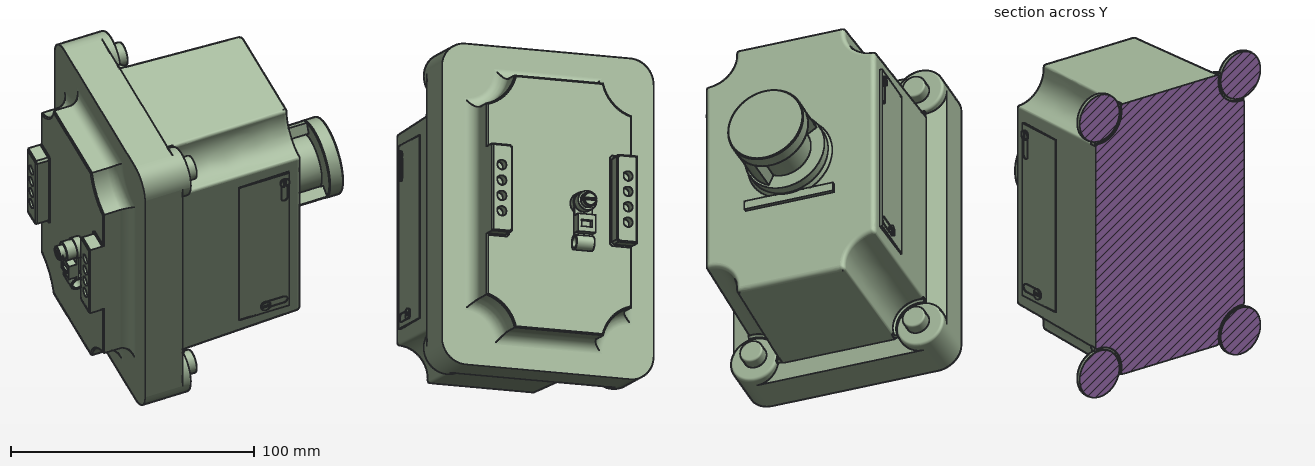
import cadquery as cq
import math


FLANGE_X = 93.7
FLANGE_Z = 134.9
FLANGE_CORNER_R = 10.4
FLANGE_EDGE_Y = 16.7
SLOPE_TOP_Y = 18.5
PAD_Y = 20.9
PAD_EDGE_R = 1.2
CORNER_X = FLANGE_X / 2 - FLANGE_CORNER_R
CORNER_Z = FLANGE_Z / 2 - FLANGE_CORNER_R

SCREW_X = 35.7
SCREW_Z = 56.4
SCREW_R = 5.0
SCREW_TOP_Y = 26.0
SCREW_EDGE = 0.8

CASE_REAR_Y = 73.8
CASE_ROOT_Y = 19.2
CASE_ROOT_X = 38.6
CASE_ROOT_Z = 60.4
CASE_SCALLOP_R = 11.3
DRAFT = 1.4
CASE_REAR_EDGE_R = 1.9
CASE_SIDE_EDGE_R = 1.2
CASE_SCALLOP_ROOT_R = CASE_SCALLOP_R - FLANGE_CORNER_R

FRONT_X = 32.1
FRONT_Z = 53.0
FRONT_Y = -12.4
FRONT_ROOT_R = 4.9
FRONT_SCALLOP_R = 17.4
FRONT_EDGE = 0.5

TERMINAL_INNER_X = 23.0
TERMINAL_TOP_Z = 22.1
TERMINAL_BOTTOM_Z = -14.5
TERMINAL_FACE_Y = -18.6
TERMINAL_CORNER = 1.0
TERMINAL_EDGE = 0.5
TERMINAL_FOOT = 0.7
TERMINAL_FOOT_HEIGHT = 0.4
SOCKET_X = 27.9
SOCKET_TOP_Z = 13.4
SOCKET_PITCH = 6.5
SOCKET_COUNT = 4
SOCKET_R = 2.0
SOCKET_DEPTH = 4.0

STUD_X = 9.3
STUD_Z = 1.2
STUD_STEPS = [(4.5, -15.8), (4.0, -20.1), (3.0, -23.2)]
STUD_TIP_EDGE = 0.4
STUD_SLOT_WIDTH = 1.0
STUD_SLOT_DEPTH = 1.5
CLIP_WIDTH = 7.8
CLIP_PLATE_Y = -15.1
CLIP_PLATE_THICKNESS = 0.8
CLIP_BLOCK_TOP_Z = -4.5
CLIP_BLOCK_BOTTOM_Z = -11.9
CLIP_BLOCK_Y = -19.5
CLIP_WINDOW_WIDTH = 4.7
CLIP_WINDOW_TOP_Z = -6.9
CLIP_WINDOW_BOTTOM_Z = -9.7
CLIP_WINDOW_DEPTH = 2.0
LOOP_R = 3.1
LOOP_BORE_R = 2.3
LOOP_Z = -15.8

PLATE_FACE_X = 38.3
PLATE_FRONT_Y = 45.7
PLATE_REAR_Y = 68.1
PLATE_HALF_Z = 38.5
TRACK_DEPTH = 0.3
ADJUSTER_FACE_X = 39.0
ADJUSTER_SLOT_WIDTH = 1.0
ADJUSTER_SLOT_DEPTH = 0.5
UPPER_Y = 66.0
UPPER_Z = 33.9
UPPER_R = 2.0
UPPER_TRACK_WIDTH = 2.7
UPPER_TRACK_END_Z = 23.2
LOWER_Y = 57.5
LOWER_Z = -34.3
LOWER_R = 2.2
LOWER_TRACK_WIDTH = 3.5
LOWER_TRACK_END_Y = 67.3

COLLAR_R = 17.5
COLLAR_REAR_Y = 79.8
COLLAR_FRONT_Y = 75.7
COLLAR_ROOT_R = 18.6
CORE_R = 11.6
CORE_REAR_Y = 94.1

INDEX_HALF_X = 19.4
INDEX_TOP_Z = -17.0
INDEX_BOTTOM_Z = -20.9
INDEX_REAR_Y = 75.3

CAP_R = 16.6
CAP_FRONT_Y = 95.4
CAP_REAR_Y = 101.7
CAP_EDGE = 0.4
LEG_R = 16.5
LEG_START = 115
LEG_SWEEP = 34
LEG_COUNT = 2

SIGNS = (-1, 1)
QUADRANTS = [(sx, sz) for sx in SIGNS for sz in SIGNS]


def plane_y(y):
    """XZ plane at height y, with local X = +X, local Y = +Z and normal -Y."""
    return cq.Workplane("XZ", origin=(0, y, 0))


def box(x0, x1, y0, y1, z0, z1):
    return cq.Workplane("XY").box(x1 - x0, y1 - y0, z1 - z0, centered=False).translate((x0, y0, z0))


def cylinder_y(x, z, radius, y0, y1):
    return plane_y(y0).center(x, z).circle(radius).extrude(y0 - y1)


def revolve_y(profile, x=0, z=0):
    """Turn a closed (radius, y) outline about the Y-parallel axis through x, z."""
    return profile.close().revolve(360, (0, 0, 0), (0, 1, 0)).translate((x, 0, z))


def make_pad_space(sx, sz):
    """Space of one corner pad: a cylinder, filled out to the square corner of the flange."""
    pad = cylinder_y(sx * CORNER_X, sz * CORNER_Z, FLANGE_CORNER_R, 0, PAD_Y)
    corner = (
        plane_y(0).center(sx * (CORNER_X + FLANGE_CORNER_R / 2), sz * (CORNER_Z + FLANGE_CORNER_R / 2))
        .rect(FLANGE_CORNER_R, FLANGE_CORNER_R).extrude(-PAD_Y)
    )
    return pad.union(corner)


def make_flange():
    """Rounded plate whose back slopes up to the case between the four corner pads."""
    flange = plane_y(0).rect(FLANGE_X, FLANGE_Z).extrude(-PAD_Y).edges("|Y").fillet(FLANGE_CORNER_R)
    slope = (
        plane_y(FLANGE_EDGE_Y).rect(FLANGE_X, FLANGE_Z)
        .workplane(offset=FLANGE_EDGE_Y - SLOPE_TOP_Y).rect(2 * CASE_ROOT_X, 2 * CASE_ROOT_Z)
        .loft(ruled=True)
    )
    relief = plane_y(FLANGE_EDGE_Y).rect(FLANGE_X, FLANGE_Z).extrude(FLANGE_EDGE_Y - PAD_Y).cut(slope)
    for sx, sz in QUADRANTS:
        relief = relief.cut(make_pad_space(sx, sz))
    return flange.cut(relief).faces(">Y").edges().fillet(PAD_EDGE_R)


def make_flange_screw(sx, sz):
    screw = cylinder_y(sx * SCREW_X, sz * SCREW_Z, SCREW_R, FLANGE_EDGE_Y, SCREW_TOP_Y)
    return screw.faces(">Y").edges().fillet(SCREW_EDGE)


def make_case():
    length = CASE_REAR_Y - CASE_ROOT_Y
    shrink = length * math.tan(math.radians(DRAFT))
    envelope = (
        plane_y(CASE_ROOT_Y).rect(2 * CASE_ROOT_X, 2 * CASE_ROOT_Z)
        .workplane(offset=-length).rect(2 * (CASE_ROOT_X - shrink), 2 * (CASE_ROOT_Z - shrink))
        .loft(ruled=True)
    )
    case = envelope
    for sx, sz in QUADRANTS:
        scallop = revolve_y(
            cq.Workplane("XY").moveTo(0, CASE_ROOT_Y).lineTo(CASE_SCALLOP_R, CASE_ROOT_Y)
            .lineTo(CASE_SCALLOP_R + shrink, CASE_REAR_Y).lineTo(0, CASE_REAR_Y),
            sx * CORNER_X, sz * CORNER_Z,
        )
        case = case.cut(scallop)
    case = case.edges("not(#Y)").edges("not(<Y or >Y)").fillet(CASE_SIDE_EDGE_R)
    case = case.faces(">Y").edges().fillet(CASE_REAR_EDGE_R)
    root = case.faces("<Y").wires().toPending().extrude(CASE_ROOT_Y - FLANGE_EDGE_Y)
    case = case.union(root)
    for sx, sz in QUADRANTS:
        case = case.union(make_scallop_root(sx, sz).intersect(envelope))
    return case


def make_scallop_root(sx, sz):
    """Ring that blends one scallop into the top of its corner pad."""
    outer_r = CASE_SCALLOP_R + CASE_SCALLOP_ROOT_R
    blend_top_y = PAD_Y + CASE_SCALLOP_ROOT_R
    return revolve_y(
        cq.Workplane("XY").moveTo(FLANGE_CORNER_R, CASE_ROOT_Y).lineTo(FLANGE_CORNER_R, PAD_Y)
        .radiusArc((CASE_SCALLOP_R, blend_top_y), -CASE_SCALLOP_ROOT_R)
        .lineTo(outer_r, blend_top_y).lineTo(outer_r, CASE_ROOT_Y),
        sx * CORNER_X, sz * CORNER_Z,
    )


def flared_bar(half_width, plane):
    """Long bar with the root fillet on both sides; local Y of the plane is the depth."""
    flare = half_width + FRONT_ROOT_R
    return (
        cq.Workplane(plane)
        .moveTo(-flare, 0)
        .radiusArc((-half_width, -FRONT_ROOT_R), FRONT_ROOT_R)
        .lineTo(-half_width, FRONT_Y)
        .lineTo(half_width, FRONT_Y)
        .lineTo(half_width, -FRONT_ROOT_R)
        .radiusArc((flare, 0), FRONT_ROOT_R)
        .close()
        .extrude(FLANGE_Z / 2, both=True)
    )


def make_front_block():
    upright = flared_bar(FRONT_X, "XY")
    level = flared_bar(FRONT_Z, "ZY")
    block = upright.intersect(level)
    for sx, sz in QUADRANTS:
        scallop = revolve_y(
            cq.Workplane("XY").moveTo(0, FRONT_Y).lineTo(FRONT_SCALLOP_R, FRONT_Y)
            .lineTo(FRONT_SCALLOP_R, -FRONT_ROOT_R)
            .radiusArc((FRONT_SCALLOP_R - FRONT_ROOT_R, 0), -FRONT_ROOT_R)
            .lineTo(0, 0),
            sx * CORNER_X, sz * CORNER_Z,
        )
        block = block.cut(scallop)
    return block.faces("<Y").edges().chamfer(FRONT_EDGE)


def make_terminal_block():
    """Terminal block on the +X side, its outer face flush with the front block."""
    block = box(TERMINAL_INNER_X, FRONT_X, TERMINAL_FACE_Y, -FRONT_ROOT_R, TERMINAL_BOTTOM_Z, TERMINAL_TOP_Z)
    block = block.edges("|Y and <X").chamfer(TERMINAL_CORNER).faces("<Y").edges().chamfer(TERMINAL_EDGE)
    foot = box(
        TERMINAL_INNER_X - TERMINAL_FOOT, FRONT_X - FRONT_EDGE,
        FRONT_Y - TERMINAL_FOOT_HEIGHT, FRONT_Y,
        TERMINAL_BOTTOM_Z - TERMINAL_FOOT, TERMINAL_TOP_Z + TERMINAL_FOOT,
    )
    block = block.union(foot.edges("|Y and <X").chamfer(TERMINAL_CORNER))
    for index in range(SOCKET_COUNT):
        socket_z = SOCKET_TOP_Z - index * SOCKET_PITCH
        socket_end_y = TERMINAL_FACE_Y + SOCKET_DEPTH
        block = block.cut(cylinder_y(SOCKET_X, socket_z, SOCKET_R, TERMINAL_FACE_Y, socket_end_y))
    return block


def make_stud():
    root_y = FRONT_Y + FRONT_EDGE
    tip_r, tip_y = STUD_STEPS[-1]
    stud = cylinder_y(STUD_X, STUD_Z, tip_r, tip_y, root_y).faces("<Y").edges().chamfer(STUD_TIP_EDGE)
    for radius, end_y in STUD_STEPS[:-1]:
        stud = stud.union(cylinder_y(STUD_X, STUD_Z, radius, end_y, root_y))
    slot = box(
        STUD_X - tip_r, STUD_X + tip_r, tip_y, tip_y + STUD_SLOT_DEPTH,
        STUD_Z - STUD_SLOT_WIDTH / 2, STUD_Z + STUD_SLOT_WIDTH / 2,
    )
    return stud.cut(slot)


def make_clip():
    """Strip hanging from the stud, with a windowed block and a rolled loop at its end."""
    x0 = STUD_X - CLIP_WIDTH / 2
    x1 = STUD_X + CLIP_WIDTH / 2
    plate_front_y = CLIP_PLATE_Y - CLIP_PLATE_THICKNESS
    loop_y = FRONT_Y - LOOP_R
    plate = box(x0, x1, plate_front_y, CLIP_PLATE_Y, LOOP_Z + LOOP_BORE_R, STUD_Z)
    block = box(x0, x1, CLIP_BLOCK_Y, CLIP_PLATE_Y, CLIP_BLOCK_BOTTOM_Z, CLIP_BLOCK_TOP_Z)
    window = box(
        STUD_X - CLIP_WINDOW_WIDTH / 2, STUD_X + CLIP_WINDOW_WIDTH / 2,
        CLIP_BLOCK_Y, CLIP_BLOCK_Y + CLIP_WINDOW_DEPTH, CLIP_WINDOW_BOTTOM_Z, CLIP_WINDOW_TOP_Z,
    )
    loop = (
        cq.Workplane("YZ", origin=(x0, loop_y, LOOP_Z))
        .circle(LOOP_R).circle(LOOP_BORE_R).extrude(CLIP_WIDTH)
    )
    return plate.union(block.cut(window)).union(loop)


def side_plane(x):
    """YZ plane at x, normal +X."""
    return cq.Workplane("YZ", origin=(x, 0, 0))


def make_track(y0, z0, y1, z1, width):
    """Recess cutter: a round-ended track between two end-circle centres."""
    length = math.hypot(y1 - y0, z1 - z0) + width
    angle = math.degrees(math.atan2(z1 - z0, y1 - y0))
    return (
        side_plane(PLATE_FACE_X - TRACK_DEPTH)
        .center((y0 + y1) / 2, (z0 + z1) / 2).slot2D(length, width, angle).extrude(TRACK_DEPTH)
    )


def make_adjuster(y, z, radius, slot_y, slot_z):
    """Slotted screw head standing out of the adjustment plate."""
    root_x = PLATE_FACE_X - TRACK_DEPTH
    head = side_plane(root_x).center(y, z).circle(radius).extrude(ADJUSTER_FACE_X - root_x)
    slot = side_plane(ADJUSTER_FACE_X - ADJUSTER_SLOT_DEPTH).center(y, z).rect(slot_y, slot_z)
    return head.cut(slot.extrude(ADJUSTER_SLOT_DEPTH))


def make_side_plate():
    """Adjustment plate for the +X side of the case."""
    plate = box(
        CASE_ROOT_X - CASE_REAR_EDGE_R, PLATE_FACE_X,
        PLATE_FRONT_Y, PLATE_REAR_Y, -PLATE_HALF_Z, PLATE_HALF_Z,
    )
    upper_end_z = UPPER_TRACK_END_Z + UPPER_TRACK_WIDTH / 2
    lower_end_y = LOWER_TRACK_END_Y - LOWER_TRACK_WIDTH / 2
    plate = plate.cut(make_track(UPPER_Y, UPPER_Z, UPPER_Y, upper_end_z, UPPER_TRACK_WIDTH))
    plate = plate.cut(make_track(LOWER_Y, LOWER_Z, lower_end_y, LOWER_Z, LOWER_TRACK_WIDTH))
    plate = plate.union(make_adjuster(UPPER_Y, UPPER_Z, UPPER_R, ADJUSTER_SLOT_WIDTH, 2 * UPPER_R))
    return plate.union(make_adjuster(LOWER_Y, LOWER_Z, LOWER_R, 2 * LOWER_R, ADJUSTER_SLOT_WIDTH))


def make_knob_socket():
    root_y = CASE_REAR_Y - CASE_REAR_EDGE_R
    return revolve_y(
        cq.Workplane("XY").moveTo(0, root_y)
        .lineTo(COLLAR_ROOT_R, root_y).lineTo(COLLAR_ROOT_R, CASE_REAR_Y)
        .lineTo(COLLAR_R, COLLAR_FRONT_Y).lineTo(COLLAR_R, COLLAR_REAR_Y)
        .lineTo(CORE_R, COLLAR_REAR_Y).lineTo(CORE_R, CORE_REAR_Y).lineTo(0, CORE_REAR_Y)
    )


def make_index_bar():
    return box(-INDEX_HALF_X, INDEX_HALF_X, CASE_REAR_Y, INDEX_REAR_Y, INDEX_BOTTOM_Z, INDEX_TOP_Z)


def add_on_both_sides(body, side_part):
    return body.union(side_part).union(side_part.mirror("YZ"))


def make_housing():
    front = add_on_both_sides(make_front_block(), make_terminal_block())
    front = front.union(make_stud()).union(make_clip())
    case = add_on_both_sides(make_case(), make_side_plate())
    case = case.union(make_knob_socket()).union(make_index_bar())
    housing = make_flange().union(case).union(front)
    for sx, sz in QUADRANTS:
        housing = housing.union(make_flange_screw(sx, sz))
    return housing


def make_leg(start):
    """Ring segment beside the socket core, from the angle start on."""
    angles = [math.radians(start + LEG_SWEEP * part) for part in (0, 0.5, 1)]
    outer = [(LEG_R * math.cos(a), LEG_R * math.sin(a)) for a in angles]
    inner = [(CORE_R * math.cos(a), CORE_R * math.sin(a)) for a in angles]
    return (
        plane_y(COLLAR_REAR_Y).moveTo(*inner[0]).lineTo(*outer[0]).threePointArc(outer[1], outer[2])
        .lineTo(*inner[2]).threePointArc(inner[1], inner[0]).close()
        .extrude(COLLAR_REAR_Y - CAP_FRONT_Y - CAP_EDGE)
    )


def make_knob_cap():
    """Disc over the socket core, carried by legs that stand on the collar."""
    cap = cylinder_y(0, 0, CAP_R, CAP_FRONT_Y, CAP_REAR_Y)
    cap = cap.faces("<Y or >Y").edges().chamfer(CAP_EDGE)
    for index in range(LEG_COUNT):
        cap = cap.union(make_leg(LEG_START + index * 360 / LEG_COUNT))
    return cap


housing = make_housing()
knob_cap = make_knob_cap()
result = cq.Compound.makeCompound([housing.val(), knob_cap.val()])